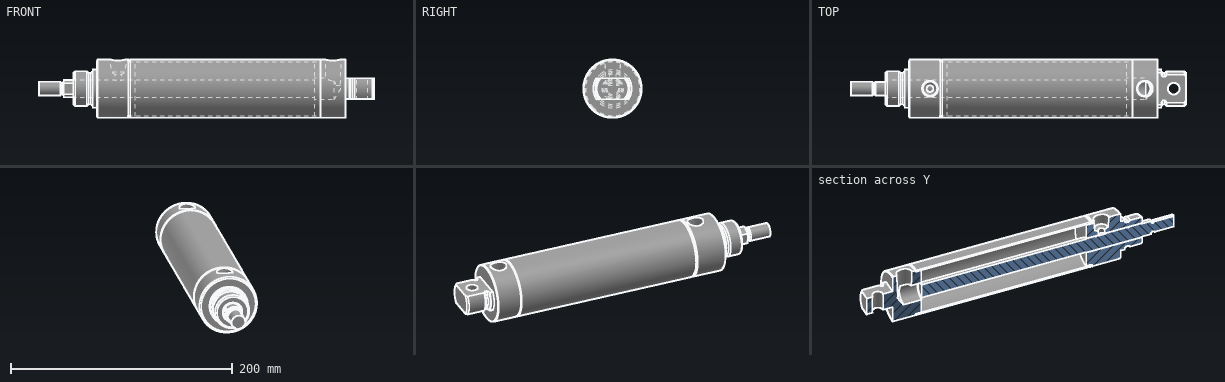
import cadquery as cq
import math

total_length = 303.2
body_diameter = 53.0
body_radius = body_diameter / 2
tube_wall = 2.0
bore_radius = body_radius - tube_wall
head_start = 52.5
head_end = 80.7
tube_end = 255.0
cap_end = 277.8
spigot_length = 6.0
tube_front_chamfer = 1.8
tube_rear_chamfer = 0.5
head_chamfer_length = 1.0
head_chamfer_depth = 1.5
cap_chamfer = 0.5

thread_radius = 15.8
thread_chamfer = 1.5
neck_radius = 14.3
neck_chamfer = thread_radius - neck_radius
collar_diameter = 35.0
collar_radius = collar_diameter / 2
nose_start = 31.2
nose_thread_end = 45.0
nose_collar_start = 48.5

lug_collar_end = 280.8
lug_body_start = 285.5
lug_thickness = 19.0
pin_hole_radius = 5.2
pin_hole_x = 292.0

rod_radius = 8.0
flat_width = 12.5
flat_start = 22.5
flat_end = nose_start
stud_radius = 6.5
stud_end = 20.3
stud_chamfer = 1.2
stud_neck_radius = stud_radius - stud_chamfer
rod_mouth_radius = 9.0
rod_mouth_depth = rod_mouth_radius - rod_radius

port_mouth_radius = 7.3
port_floor_radius = 6.5
port_passage_radius = 3.0
front_port_x = 71.5
rear_port_x = 266.0
front_port_floor = 15.2
rear_port_floor = 3.0
drill_point_angle = 118
drill_slope = 1 / math.tan(math.radians(drill_point_angle / 2))
chamber_radius = 9.7
chamber_end = 266.8


def turned(profile):
    """Solid of revolution about X from (x, radius) points, closed along the axis."""
    first_x = profile[0][0]
    last_x = profile[-1][0]
    outline = [(first_x, 0), *profile, (last_x, 0)]
    return cq.Workplane("XY").polyline(outline).close().revolve(360, (0, 0, 0), (1, 0, 0))


def cylinder_x(start, end, radius):
    return turned([(start, radius), (end, radius)])


def cylinder_z(x, bottom, top, radius):
    return cq.Workplane("XY").center(x, 0).circle(radius).extrude(top - bottom).translate((0, 0, bottom))


def drill_tip(radius, base, direction):
    """Cone left by a drill at the end of a blind hole."""
    cone = cq.Solid.makeCone(radius, 0, radius * drill_slope, pnt=cq.Vector(*base), dir=cq.Vector(*direction))
    return cq.Workplane(cone)


def tapered_port(x, floor):
    """Port that narrows from the top of the body down to its floor."""
    depth = body_radius - floor
    cone = cq.Solid.makeCone(
        port_floor_radius, port_mouth_radius, depth, pnt=cq.Vector(x, 0, floor), dir=cq.Vector(0, 0, 1)
    )
    return cq.Workplane(cone)


def front_port():
    """Drilled port with a conical floor and a narrow passage down to the rod."""
    cone = drill_tip(port_floor_radius, (front_port_x, 0, front_port_floor), (0, 0, -1))
    port = tapered_port(front_port_x, front_port_floor)
    passage = cylinder_z(front_port_x, 0, front_port_floor, port_passage_radius)
    return port.union(cone).union(passage)


def make_head():
    head = turned([
        (nose_start, thread_radius - thread_chamfer),
        (nose_start + thread_chamfer, thread_radius),
        (nose_thread_end - neck_chamfer, thread_radius),
        (nose_thread_end, neck_radius),
        (nose_collar_start - neck_chamfer, neck_radius),
        (nose_collar_start, thread_radius),
        (nose_collar_start, collar_radius),
        (head_start, collar_radius),
        (head_start, body_radius - head_chamfer_depth),
        (head_start + head_chamfer_length, body_radius),
        (head_end, body_radius),
        (head_end, bore_radius),
        (head_end + spigot_length, bore_radius),
    ])
    rod_bore = turned([
        (nose_start, rod_mouth_radius),
        (nose_start + rod_mouth_depth, rod_radius),
        (head_end + spigot_length, rod_radius),
    ])
    return head.cut(rod_bore).cut(front_port())


def make_tube():
    tube = turned([
        (head_end, body_radius - tube_front_chamfer),
        (head_end + tube_front_chamfer, body_radius),
        (tube_end - tube_rear_chamfer, body_radius),
        (tube_end, body_radius - tube_rear_chamfer),
    ])
    return tube.cut(cylinder_x(head_end, tube_end, bore_radius))


def make_cap():
    cap = turned([
        (tube_end - spigot_length, bore_radius),
        (tube_end, bore_radius),
        (tube_end, body_radius),
        (cap_end - cap_chamfer, body_radius),
        (cap_end, body_radius - cap_chamfer),
    ])
    chamber = cylinder_x(tube_end - spigot_length, chamber_end, chamber_radius)
    chamber = chamber.union(drill_tip(chamber_radius, (chamber_end, 0, 0), (1, 0, 0)))
    port = tapered_port(rear_port_x, rear_port_floor)
    return cap.cut(chamber).cut(port).union(make_lug())


def make_lug():
    """Turned pivot lug milled to two flats and cross-drilled for the pin."""
    lug = turned([
        (cap_end, collar_radius),
        (lug_collar_end, collar_radius),
        (lug_collar_end, thread_radius),
        (lug_collar_end + neck_chamfer, neck_radius),
        (lug_body_start - neck_chamfer, neck_radius),
        (lug_body_start, thread_radius),
        (total_length - thread_chamfer, thread_radius),
        (total_length, thread_radius - thread_chamfer),
    ])
    slab = cq.Workplane("XY").box(total_length, collar_diameter, lug_thickness)
    slab = slab.translate((total_length, 0, 0))
    pin_hole = cylinder_z(pin_hole_x, -lug_thickness, lug_thickness, pin_hole_radius)
    return lug.intersect(slab).cut(pin_hole)


def make_rod():
    rod = turned([
        (0, stud_radius),
        (stud_end - stud_chamfer, stud_radius),
        (stud_end, stud_neck_radius),
        (flat_start - stud_chamfer, stud_neck_radius),
        (flat_start, stud_radius),
        (flat_start, rod_radius),
        (tube_end - spigot_length, rod_radius),
    ])
    flat_length = flat_end - flat_start
    flat_centre_x = (flat_start + flat_end) / 2
    cutter_offset = (flat_width + rod_radius) / 2
    cutter = cq.Workplane("XY").box(flat_length, rod_radius, 2 * rod_radius)
    for side in (-1, 1):
        rod = rod.cut(cutter.translate((flat_centre_x, side * cutter_offset, 0)))
    return rod


head = make_head()
tube = make_tube()
cap = make_cap()
rod = make_rod()

result = cq.Compound.makeCompound([head.val(), tube.val(), cap.val(), rod.val()])